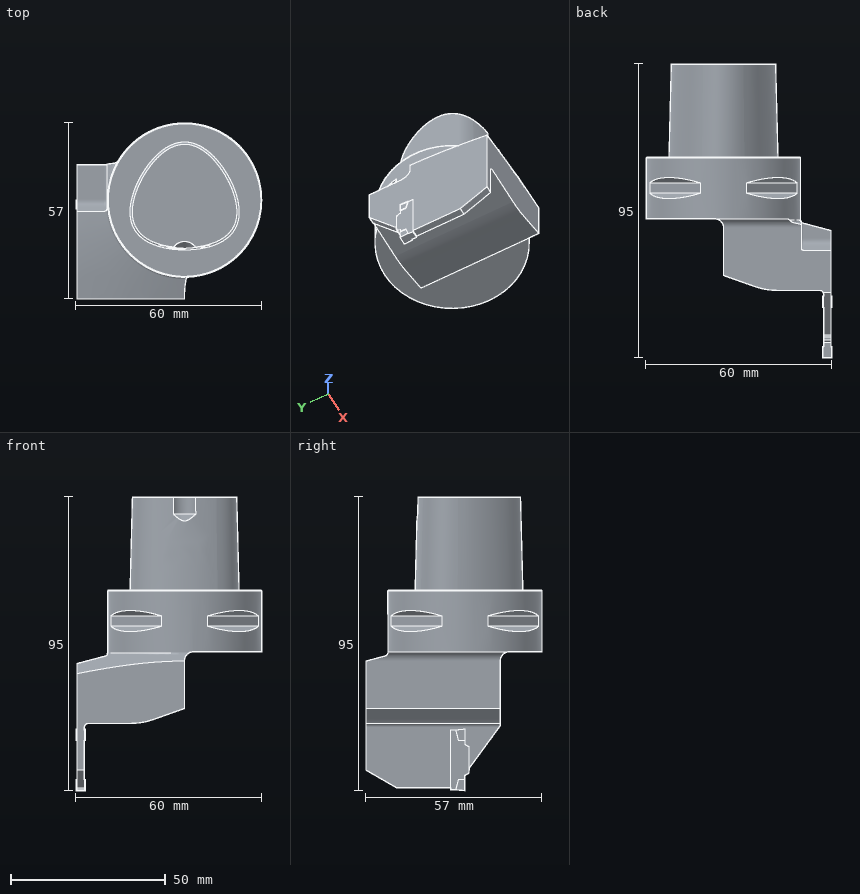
import cadquery as cq
import math

SHANK_HEIGHT = 30.0
TOTAL_HEIGHT = 95.0
BOTTOM = SHANK_HEIGHT - TOTAL_HEIGHT
TOTAL_LENGTH = 60.0
TOTAL_WIDTH = 57.0

FLANGE_DIAMETER = 50.0
FLANGE_RADIUS = FLANGE_DIAMETER / 2
FLANGE_HEIGHT = 20.0
FLANGE_CHAMFER = 0.3

SHANK_BASE_RADIUS = 17.5
SHANK_TAPER = 0.8
LOBE_OFFSET = 1.3
LOBE_HALF_ANGLE = 27
LOBE_CRESTS = (-30, 90, 210)
LOBE_PITCH = 120
POINTS_PER_ARC = 9

DRILL_RADIUS = 4.4
DRILL_Y = -17.8
DRILL_DEPTH = 5.5
DRILL_TIP = DRILL_RADIUS

GROOVE_COUNT = 4
GROOVE_START = 45
GROOVE_Z = -10.1
GROOVE_FLOOR = 22.1
GROOVE_FLOOR_WIDTH = 3.3
GROOVE_MOUTH_WIDTH = 6.8

INSERT_LEFT = FLANGE_RADIUS - TOTAL_LENGTH
CUTTING_OVERHANG = 0.2
BLOCK_LEFT = INSERT_LEFT + CUTTING_OVERHANG
BLOCK_FRONT = FLANGE_RADIUS - TOTAL_WIDTH
BLOCK_BACK = 11.5
BLOCK_FLOOR = -43.2
BLADE_BOTTOM = -64.0
BLADE_THICKNESS = 2.5
BLADE_FILLET = 1.2
UNDERSIDE_RADIUS = 20.9
UNDERSIDE_RISE_END = -38.4
UNDERSIDE_ANGLE = 19.5
BLOCK_RIGHT = 0.0
ROOT_FILLET = 2.85
SLOPE_START = -43.9
SLOPE_FOOT = (1.5, -57.6)
SLOPE_LIP = 0.8
CORNER_START = -58.3
CORNER_WIDTH = 9.9
SHOULDER_ANGLE = 15
SHOULDER_RADIUS = 34.9
SHOULDER_Z = -23.75
SHOULDER_FILLET = 0.95
SPAN = 2 * TOTAL_HEIGHT

NOTCH_WALL = -25.2
NOTCH_FRONT = -3.6
NOTCH_FLOOR = -30.2
NOTCH_CORNER = 3.7
NOTCH_ROOT_FILLET = 0.7

TIP_HALF = 10.0
INSERT_MID_Z = BOTTOM + TIP_HALF
INSERT_BACK = -4.7
BODY_HALF = 9.7
BUMP_Y = 1.3
BUMP_HALF = 4.3
BUMP_FOOT_HALF = 5.0
HEAD_HALF = 6.4
HEAD_INNER_Y = -2.1
HEAD_OUTER_Y = -2.9
HEAD_THICKNESS = 2.9


def lobe_point(angle, mean_radius, z):
    a = math.radians(angle)
    return cq.Vector(
        mean_radius * math.cos(a) - LOBE_OFFSET * math.sin(2 * a),
        mean_radius * math.sin(a) - LOBE_OFFSET * math.cos(2 * a),
        z,
    )


def lobed_wire(mean_radius, z):
    """Closed three-lobed outline made of crest arcs and flank arcs."""
    edges = []
    for crest in LOBE_CRESTS:
        breaks = (crest - LOBE_HALF_ANGLE, crest + LOBE_HALF_ANGLE, crest + LOBE_PITCH - LOBE_HALF_ANGLE)
        for start, end in zip(breaks, breaks[1:]):
            step = (end - start) / (POINTS_PER_ARC - 1)
            points = [lobe_point(start + i * step, mean_radius, z) for i in range(POINTS_PER_ARC)]
            edges.append(cq.Edge.makeSpline(points))
    return cq.Wire.assembleEdges(edges)


def make_shank():
    base = lobed_wire(SHANK_BASE_RADIUS, 0)
    top = lobed_wire(SHANK_BASE_RADIUS - SHANK_TAPER, SHANK_HEIGHT)
    shank = cq.Workplane(cq.Solid.makeLoft([base, top], True))
    seat = SHANK_HEIGHT - DRILL_DEPTH
    drill = (
        cq.Workplane("XZ", origin=(0, DRILL_Y, 0))
        .moveTo(0, SHANK_HEIGHT)
        .lineTo(DRILL_RADIUS, SHANK_HEIGHT)
        .lineTo(DRILL_RADIUS, seat)
        .lineTo(0, seat - DRILL_TIP)
        .close()
        .revolve(360, (0, 0), (0, 1))
    )
    return shank.cut(drill)


def make_flange():
    flange = cq.Workplane("XY").circle(FLANGE_RADIUS).extrude(-FLANGE_HEIGHT)
    flange = flange.faces(">Z").chamfer(FLANGE_CHAMFER)
    depth = FLANGE_RADIUS - GROOVE_FLOOR
    slope = (GROOVE_MOUTH_WIDTH - GROOVE_FLOOR_WIDTH) / 2 / depth
    outer = FLANGE_RADIUS + depth
    floor_half = GROOVE_FLOOR_WIDTH / 2
    outer_half = floor_half + slope * (outer - GROOVE_FLOOR)
    groove = (
        cq.Workplane("XZ", origin=(0, 0, GROOVE_Z))
        .polyline([
            (GROOVE_FLOOR, -floor_half),
            (outer, -outer_half),
            (outer, outer_half),
            (GROOVE_FLOOR, floor_half),
        ])
        .close()
        .extrude(FLANGE_RADIUS, both=True)
    )
    for i in range(GROOVE_COUNT):
        angle = GROOVE_START + i * 360 / GROOVE_COUNT
        flange = flange.cut(groove.rotate((0, 0, 0), (0, 0, 1), angle))
    return flange


def make_shoulder():
    """Round body whose conical top is blended into the flange rim."""
    slope = math.tan(math.radians(SHOULDER_ANGLE))
    rim_z = SHOULDER_Z + slope * (SHOULDER_RADIUS - FLANGE_RADIUS)
    half_turn = math.radians(90 - SHOULDER_ANGLE) / 2
    tangent = SHOULDER_FILLET * math.tan(half_turn)
    cone_x = math.cos(math.radians(SHOULDER_ANGLE))
    cone_z = math.sin(math.radians(SHOULDER_ANGLE))
    outer_z = rim_z - slope * (TOTAL_HEIGHT - FLANGE_RADIUS)
    return (
        cq.Workplane("XZ")
        .moveTo(0, -FLANGE_HEIGHT)
        .lineTo(FLANGE_RADIUS, -FLANGE_HEIGHT)
        .lineTo(FLANGE_RADIUS, rim_z + tangent)
        .tangentArcPoint((FLANGE_RADIUS + tangent * cone_x, rim_z - tangent * cone_z), relative=False)
        .lineTo(TOTAL_HEIGHT, outer_z)
        .lineTo(TOTAL_HEIGHT, -TOTAL_HEIGHT)
        .lineTo(0, -TOTAL_HEIGHT)
        .close()
        .revolve(360, (0, 0), (0, 1))
    )


def make_side_profile():
    """Block outline in the YZ plane, run along X."""
    foot_y, foot_z = SLOPE_FOOT
    return (
        cq.Workplane("YZ")
        .moveTo(BLOCK_FRONT, -FLANGE_HEIGHT)
        .lineTo(BLOCK_BACK + ROOT_FILLET, -FLANGE_HEIGHT)
        .radiusArc((BLOCK_BACK, -FLANGE_HEIGHT - ROOT_FILLET), -ROOT_FILLET)
        .lineTo(BLOCK_BACK, SLOPE_START)
        .lineTo(foot_y, foot_z)
        .lineTo(foot_y, foot_z - SLOPE_LIP)
        .lineTo(INSERT_BACK, foot_z - SLOPE_LIP)
        .lineTo(INSERT_BACK, BLADE_BOTTOM)
        .lineTo(BLOCK_FRONT + CORNER_WIDTH, BLADE_BOTTOM)
        .lineTo(BLOCK_FRONT, CORNER_START)
        .close()
        .extrude(SPAN / 2, both=True)
    )


def make_front_profile():
    """Block outline in the XZ plane, run along Y: head, rising underside and thin blade."""
    blade_right = BLOCK_LEFT + BLADE_THICKNESS
    slope = math.tan(math.radians(UNDERSIDE_ANGLE))
    bend_x = BLOCK_RIGHT + (BLOCK_FLOOR - UNDERSIDE_RISE_END) / slope
    profile = (
        cq.Workplane("XZ")
        .moveTo(BLOCK_LEFT, -FLANGE_HEIGHT)
        .lineTo(BLOCK_RIGHT + ROOT_FILLET, -FLANGE_HEIGHT)
        .radiusArc((BLOCK_RIGHT, -FLANGE_HEIGHT - ROOT_FILLET), -ROOT_FILLET)
        .lineTo(BLOCK_RIGHT, UNDERSIDE_RISE_END)
        .lineTo(bend_x, BLOCK_FLOOR)
        .lineTo(blade_right, BLOCK_FLOOR)
        .lineTo(blade_right, BLADE_BOTTOM)
        .lineTo(BLOCK_LEFT, BLADE_BOTTOM)
        .close()
        .extrude(SPAN / 2, both=True)
    )
    profile = profile.edges(cq.NearestToPointSelector((bend_x, 0, BLOCK_FLOOR))).fillet(UNDERSIDE_RADIUS)
    return profile.edges(cq.NearestToPointSelector((blade_right, 0, BLOCK_FLOOR))).fillet(BLADE_FILLET)


def make_notch():
    length = NOTCH_WALL - INSERT_LEFT
    width = FLANGE_RADIUS - NOTCH_FRONT
    height = -FLANGE_HEIGHT - NOTCH_FLOOR
    notch = (
        cq.Workplane("XY")
        .box(length, width, height, centered=False)
        .translate((INSERT_LEFT, NOTCH_FRONT, NOTCH_FLOOR))
    )
    notch = notch.edges("|X and <Y and <Z").fillet(NOTCH_CORNER)
    floor_edge = cq.NearestToPointSelector((NOTCH_WALL, FLANGE_RADIUS / 2, NOTCH_FLOOR))
    return notch.edges(floor_edge).fillet(NOTCH_ROOT_FILLET)


def make_insert():
    body_outline = [
        (INSERT_BACK, -BODY_HALF),
        (0, -BODY_HALF),
        (0, -BUMP_FOOT_HALF),
        (BUMP_Y, -BUMP_HALF),
        (BUMP_Y, BUMP_HALF),
        (0, BUMP_FOOT_HALF),
        (0, BODY_HALF),
        (INSERT_BACK, BODY_HALF),
    ]
    insert = (
        cq.Workplane("YZ", origin=(BLOCK_LEFT, 0, INSERT_MID_Z))
        .polyline(body_outline)
        .close()
        .extrude(BLADE_THICKNESS)
    )
    for end in (-1, 1):
        head = (
            cq.Workplane("YZ", origin=(INSERT_LEFT, 0, INSERT_MID_Z))
            .polyline([
                (0, end * HEAD_HALF),
                (HEAD_INNER_Y, end * HEAD_HALF),
                (HEAD_OUTER_Y, end * BODY_HALF),
                (0, end * TIP_HALF),
            ])
            .close()
            .extrude(HEAD_THICKNESS)
        )
        insert = insert.union(head)
    return insert


def make_holder(insert):
    block = make_shoulder().intersect(make_side_profile())
    block = block.intersect(make_front_profile())
    block = block.cut(make_notch()).cut(insert)
    return make_flange().union(make_shank()).union(block)


insert = make_insert()
holder = make_holder(insert)

result = cq.Compound.makeCompound([holder.solids().val(), insert.solids().val()])